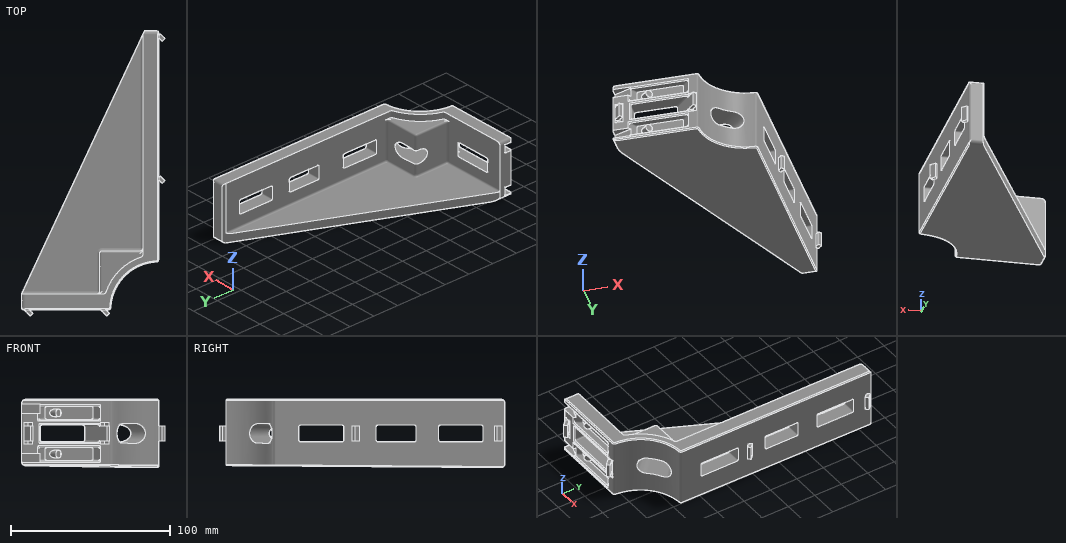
import cadquery as cq
import math

SHORT_LEG = 86.1
LONG_LEG = 175.0
LEG_THICKNESS = 10.0
TOP_Z = 21.5
BOTTOM_Z_AT_CORNER = -20.2
BOTTOM_Z_AT_TIP = -21.5
FLOOR_THICKNESS = 6.3
BRACE_TIP_X = -10.0
BRACE_TIP_Y = 172.7
CORNER_RADIUS = 30.0
CORNER_WALL = 4.8
ROOM_MARGIN = 35.8

MOUNTING_EDGE_ROUND = 1.5
MOUNTING_EDGE_CHAMFER = 0.7
SHORT_END_ROUND = 2.9
LONG_END_ROUND = 2.5
INNER_ROUND = 1.6

BLOCK_SIZE = 37.0
BLOCK_TOP_Z = 16.5
BOLT_SLOT_START = 25.0
BOLT_SLOT_DEPTH = 35.8
BOLT_SLOT_LENGTH = 22.7
BOLT_SLOT_WIDTH = 12.9
BOLT_SLOT_SHIFT = 3.2
BOLT_SLOT_TAPER = 3.5

SLOT_WIDTH = 10.4
SLOT_CORNER = 1.0
RIM_CHAMFER = 0.7
SLOT_FLARE = 0.4
SHORT_SLOT_FAR_X = -74.3
LONG_SLOTS = ((45.8, 74.0), (94.3, 119.2), (133.5, 161.3))

TAB_REACH = 4.0
TAB_THICKNESS = 2.5
TAB_WIDTH = 9.5
TAB_NOTCH_WIDTH = 13.5
TAB_NOTCH_LENGTH = 5.2
TAB_ROOT = 0.7
SHORT_TABS = (-84.5, -36.5)
LONG_TABS = (81.5, 170.5)

POCKET_DEPTH = 4.7
POCKET_FAR_X = -75.9
POCKET_NEAR_X = -36.5
POCKET_CENTRE_Z = 12.9
POCKET_WIDTH = 9.0
POCKET_FLOOR_WIDTH = 8.0
PIN_DIAMETER = 4.8
PIN_FLOOR_X = -65.0
PIN_RISE = 2.1
RAMP_NEAR_X = -74.5
RAMP_DEPTH_AT_END = 5.9
RAMP_DEPTH_AT_POCKET = 1.5
RAMP_CENTRE_Z = 15.4
RAMP_WIDTH = 5.9


def bottom_z(y):
    """Height of the slightly tilted underside."""
    return BOTTOM_Z_AT_CORNER + (BOTTOM_Z_AT_TIP - BOTTOM_Z_AT_CORNER) * y / LONG_LEG


def prism_xy(points, width, centre_z=0.0):
    """Outline in the XY plane, extruded evenly to both sides of a height."""
    return cq.Workplane("XY", origin=(0, 0, centre_z)).polyline(points).close().extrude(width / 2, both=True)


def outer_body():
    brace_slope = (BRACE_TIP_Y - LEG_THICKNESS) / (BRACE_TIP_X + SHORT_LEG)
    end_x = BRACE_TIP_X + (LONG_LEG - BRACE_TIP_Y) / brace_slope
    arc_middle = CORNER_RADIUS * math.sqrt(0.5)
    outline = (
        cq.Workplane("XY", origin=(0, 0, BOTTOM_Z_AT_TIP))
        .moveTo(-SHORT_LEG, 0)
        .lineTo(-CORNER_RADIUS, 0)
        .threePointArc((-arc_middle, arc_middle), (0, CORNER_RADIUS))
        .lineTo(0, LONG_LEG)
        .lineTo(end_x, LONG_LEG)
        .lineTo(-SHORT_LEG, LEG_THICKNESS)
        .close()
        .extrude(TOP_Z - BOTTOM_Z_AT_TIP)
    )
    outline = outline.faces("<Y or >X").edges("|Z").fillet(MOUNTING_EDGE_ROUND)
    side = (
        cq.Workplane("YZ")
        .polyline([(0, bottom_z(0)), (LONG_LEG, bottom_z(LONG_LEG)), (LONG_LEG, TOP_Z), (0, TOP_Z)])
        .close()
        .extrude(-SHORT_LEG)
    )
    body = outline.intersect(side)
    mounting_faces = body.faces("<Y or >X")
    body = body.newObject(mounting_faces.edges("not |Z").vals()).chamfer(MOUNTING_EDGE_CHAMFER)
    ends = side.faces(">Y").edges("|X").fillet(LONG_END_ROUND)
    ends = ends.faces("<X").edges("not |Z").edges("not >Y").edges("not <Y").fillet(SHORT_END_ROUND)
    return body.intersect(ends)


def round_leg_joints(room, distance):
    """Round the two upright edges where a corner feature, at a distance from the origin, meets the legs."""
    for x, y in ((-distance, LEG_THICKNESS), (-LEG_THICKNESS, distance)):
        joint = cq.selectors.NearestToPointSelector((x, y, 0))
        room = room.edges("|Z").edges(joint).fillet(INNER_ROUND)
    return room


def inner_room():
    """The open space between the legs, above the floor and around the corner block."""
    far_y = LONG_LEG + ROOM_MARGIN
    low, high = LEG_THICKNESS, TOP_Z + ROOM_MARGIN
    room = (
        cq.Workplane("YZ", origin=(-LEG_THICKNESS, 0, 0))
        .polyline([
            (low, bottom_z(low) + FLOOR_THICKNESS),
            (far_y, bottom_z(far_y) + FLOOR_THICKNESS),
            (far_y, high),
            (low, high),
        ])
        .close()
        .extrude(-SHORT_LEG - ROOM_MARGIN)
    )
    block = (
        cq.Workplane("XY", origin=(0, 0, BOTTOM_Z_AT_TIP))
        .rect(2 * BLOCK_SIZE, 2 * BLOCK_SIZE)
        .extrude(BLOCK_TOP_Z - BOTTOM_Z_AT_TIP)
        .edges(">Z or |Z")
        .fillet(INNER_ROUND)
    )
    wall_radius = CORNER_RADIUS + CORNER_WALL
    corner_wall = (
        cq.Workplane("XY", origin=(0, 0, BOTTOM_Z_AT_TIP)).circle(wall_radius).extrude(high - BOTTOM_Z_AT_TIP)
    )
    wall_meets_leg = math.sqrt(wall_radius**2 - LEG_THICKNESS**2)
    around_wall = round_leg_joints(room.cut(corner_wall), wall_meets_leg)
    around_block = round_leg_joints(room.cut(block), BLOCK_SIZE)
    around_block = around_block.faces("<Z").edges().fillet(INNER_ROUND)
    above_block = (
        cq.Workplane("XY", origin=(-LEG_THICKNESS, LEG_THICKNESS, BLOCK_TOP_Z))
        .rect(-2 * BLOCK_SIZE, 2 * BLOCK_SIZE)
        .extrude(high - BLOCK_TOP_Z)
        .intersect(room)
    )
    return around_block.union(above_block).intersect(around_wall)


def bolt_slot():
    """Tapered slot through the corner block, on the 45 degree line from the origin."""
    start = BOLT_SLOT_START * math.sqrt(0.5)
    across = cq.Plane(origin=(-start, start, 0), xDir=(1, 1, 0), normal=(-1, 1, 0))
    return (
        cq.Workplane(across)
        .center(BOLT_SLOT_SHIFT, 0)
        .slot2D(BOLT_SLOT_LENGTH, BOLT_SLOT_WIDTH)
        .extrude(BOLT_SLOT_DEPTH, taper=BOLT_SLOT_TAPER)
    )


def tapered_prism(start_y, end_y, start, end):
    """Solid between two rectangles, each given as (low X, high X, width in Z)."""
    start_x = (start[0] + start[1]) / 2
    end_x = (end[0] + end[1]) / 2
    prism = (
        cq.Workplane("XZ", origin=(start_x, start_y, 0))
        .rect(start[1] - start[0], start[2])
        .workplane(offset=start_y - end_y)
        .center(end_x - start_x, 0)
        .rect(end[1] - end[0], end[2])
        .loft(ruled=True)
    )
    return prism.edges("not #Y").fillet(SLOT_CORNER)


def sloped_recess(depth, opening, bottom):
    """Tapered recess in the short leg; the opening is widened to a chamfered rim on the mounting face."""
    low_x, high_x, width = opening
    rim = (low_x - RIM_CHAMFER, high_x + RIM_CHAMFER, width + 2 * RIM_CHAMFER)
    recess = tapered_prism(RIM_CHAMFER, depth, opening, bottom)
    return recess.union(tapered_prism(0, RIM_CHAMFER, rim, opening))


def short_leg_slot():
    near_x = SHORT_TABS[1]
    opening = (SHORT_SLOT_FAR_X, near_x - RIM_CHAMFER, SLOT_WIDTH + 2 * SLOT_FLARE)
    inside = (SHORT_SLOT_FAR_X, near_x - LEG_THICKNESS, SLOT_WIDTH)
    return sloped_recess(LEG_THICKNESS, opening, inside)


def long_leg_slot(low_y, high_y):
    return (
        cq.Workplane("YZ", origin=(-LEG_THICKNESS, 0, 0))
        .center((low_y + high_y) / 2, 0)
        .rect(high_y - low_y, SLOT_WIDTH)
        .extrude(LEG_THICKNESS)
        .edges("|X")
        .fillet(SLOT_CORNER)
    )


def pocket(centre_z):
    opening = (POCKET_FAR_X + RIM_CHAMFER, POCKET_NEAR_X - RIM_CHAMFER, POCKET_WIDTH)
    floor = (POCKET_FAR_X + POCKET_DEPTH, POCKET_NEAR_X - POCKET_DEPTH, POCKET_FLOOR_WIDTH)
    return sloped_recess(POCKET_DEPTH, opening, floor).translate((0, 0, centre_z))


def pin(centre_z):
    """Round pin leaning out of a pocket floor at 45 degrees."""
    leaning = cq.Plane(
        origin=(PIN_FLOOR_X + PIN_RISE, POCKET_DEPTH - PIN_RISE, centre_z),
        xDir=(0, 0, 1),
        normal=(-1, 1, 0),
    )
    return cq.Workplane(leaning).circle(PIN_DIAMETER / 2).extrude(PIN_RISE * math.sqrt(2) + PIN_DIAMETER / 2)


def ramp(centre_z):
    """Wedge cut from the leg's end into the far end of a pocket."""
    points = [
        (-SHORT_LEG, 0),
        (-SHORT_LEG, RAMP_DEPTH_AT_END),
        (RAMP_NEAR_X, RAMP_DEPTH_AT_POCKET),
        (RAMP_NEAR_X, 0),
    ]
    return prism_xy(points, RAMP_WIDTH, centre_z)


def tab_notch(x):
    half = TAB_NOTCH_LENGTH / 2
    return prism_xy([(x, 0), (x + half, half), (x + TAB_NOTCH_LENGTH, 0)], TAB_NOTCH_WIDTH)


def tab(x, y, reach):
    """Tab leaning towards +X and -Y, whose -X side leaves the mounting face at (x, y)."""
    side = TAB_THICKNESS * math.sqrt(0.5)
    points = [
        (x - TAB_ROOT, y + TAB_ROOT),
        (x + reach, y - reach),
        (x + reach + side, y - reach + side),
        (x - TAB_ROOT + side, y + TAB_ROOT + side),
    ]
    return prism_xy(points, TAB_WIDTH)


body = outer_body().cut(inner_room()).cut(bolt_slot()).cut(short_leg_slot())

for low_y, high_y in LONG_SLOTS:
    body = body.cut(long_leg_slot(low_y, high_y))

for pocket_z, ramp_z in ((POCKET_CENTRE_Z, RAMP_CENTRE_Z), (-POCKET_CENTRE_Z, -RAMP_CENTRE_Z)):
    body = body.cut(pocket(pocket_z)).cut(ramp(ramp_z))
    body = body.union(pin(pocket_z))

for tab_x in SHORT_TABS:
    body = body.cut(tab_notch(tab_x)).union(tab(tab_x, 0, TAB_REACH))

LONG_TAB_REACH = TAB_REACH - TAB_THICKNESS * math.sqrt(0.5)
for tab_y in LONG_TABS:
    body = body.union(tab(0, tab_y, LONG_TAB_REACH))

result = body